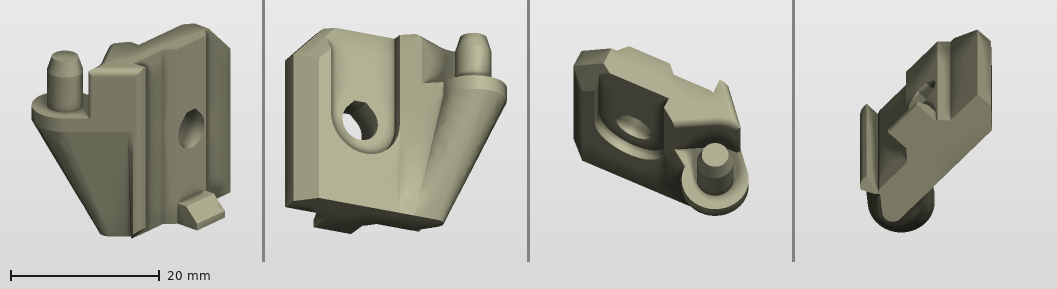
import cadquery as cq
import math


height = 25.7
disk_bottom = 16.55
shelf_z = 18.52
pin_cone_z = 23.65

disk_radius = 4.5
pin_radius = 2.45
pin_tip_radius = 1.8

plate_left = 3.5
plate_right = 8.55
plate_front = 9.3
plate_back = 28.5 - disk_radius
side_chamfer = 2.55
top_chamfer = 4.5
corner_slope = 1.4

center_y = 14.48
boss_right = 9.85
boss_root_half = 4.25
boss_tip_half = 3.05
foot_right = 17.9 - disk_radius
foot_half = 2.82
foot_height = 2.95
foot_chamfer = 1.97

pocket_floor = 5.05
pocket_radius = center_y - plate_front
hole_radius = 2.65
hole_z = 12.82
hole_flat_height = 2.88

wing_angle = math.radians(40.4)
wing_tip = 10.52
wing_top_y = 4.35
wing_notch = (8.35, 4.28)
wing_root = (plate_right, 4.85)
wing_strip_x = 9.38
wing_flare_x = 9.92
support_end_x = 7.98
wing_base_x = 8.5
edge_fillet = 1.0
wall_end_fillet = 0.5

wall_radius = 4.9
wall_angle = math.radians(30)

nose_radius = 1.4
nose_top_y = 7.07
nose_center = (plate_left + nose_radius, 3.53)

cut_reach = 28.5


def polar(radius, angle, center=(0, 0)):
    return (center[0] + radius * math.cos(angle), center[1] + radius * math.sin(angle))


slant_normal = wing_angle - math.pi / 2


def slant_y(x, start):
    """Y on the line through start that runs parallel to the wing."""
    return start[1] + (x - start[0]) * math.tan(wing_angle)


slant_start = polar(disk_radius, slant_normal)
tip_corner = (wing_tip, slant_y(wing_tip, slant_start))
nose_end = polar(nose_radius, slant_normal, nose_center)
support_end = (support_end_x, slant_y(support_end_x, nose_end))
flare_corner = (wing_flare_x, slant_y(wing_flare_x, slant_start))
strip_corner = (wing_strip_x, slant_y(wing_strip_x, slant_start))


def prism(points, bottom, top):
    return cq.Workplane("XY").workplane(offset=bottom).polyline(points).close().extrude(top - bottom)


def round_edge(body, point, radius):
    """Round the edge nearest to a point, with any edges tangent to it."""
    return body.edges(cq.selectors.NearestToPointSelector(point)).fillet(radius)


def make_plate():
    outline = [
        (plate_left, plate_front),
        (plate_right, plate_front),
        (plate_right, center_y - boss_root_half),
        (boss_right, center_y - boss_tip_half),
        (boss_right, center_y + boss_tip_half),
        (plate_right, center_y + boss_root_half),
        (plate_right, plate_back),
        (plate_left + side_chamfer, plate_back),
        (plate_left, plate_back - side_chamfer),
    ]
    return prism(outline, 0, height)


def make_foot():
    return (
        cq.Workplane("XZ", origin=(0, center_y + foot_half, 0))
        .moveTo(plate_right, 0)
        .lineTo(foot_right, 0)
        .lineTo(foot_right, foot_height - foot_chamfer)
        .lineTo(foot_right - foot_chamfer, foot_height)
        .lineTo(plate_right, foot_height)
        .close()
        .extrude(2 * foot_half)
    )


def make_head():
    """Upper arm with the disk, the wing and the wall around the pin."""
    head = (
        cq.Workplane("XY", origin=(0, 0, disk_bottom))
        .moveTo(plate_left, plate_front)
        .lineTo(0, disk_radius)
        .threePointArc(polar(disk_radius, math.pi), slant_start)
        .lineTo(*tip_corner)
        .lineTo(wing_tip, wing_top_y)
        .lineTo(*wing_notch)
        .lineTo(*wing_root)
        .lineTo(plate_right, plate_front)
        .close()
        .extrude(height - disk_bottom)
    )
    wall_start = polar(wall_radius, wall_angle)
    wall_far = polar(2 * wall_radius, wall_angle + math.pi / 2, wall_start)
    recess = (
        cq.Workplane("XY", origin=(0, 0, shelf_z))
        .moveTo(*wall_far)
        .lineTo(*wall_start)
        .threePointArc(polar(wall_radius, wall_angle / 2), (wall_radius, 0))
        .lineTo(wall_radius, -cut_reach)
        .lineTo(-cut_reach, -cut_reach)
        .lineTo(-cut_reach, wall_far[1])
        .close()
        .extrude(height)
    )
    head = head.cut(recess)
    wall_end = (wall_radius, slant_y(wall_radius, slant_start))
    wall_top = (wall_radius, wall_end[1] / 2, height)
    slant_x = (wall_radius + wing_tip) / 2
    slant_top = (slant_x, slant_y(slant_x, slant_start), height)
    mid_z = (shelf_z + height) / 2
    rounded = round_edge(head, wall_top, edge_fillet)
    rounded = rounded.intersect(round_edge(head, slant_top, edge_fillet))
    rounded = rounded.intersect(round_edge(head, (*wall_end, mid_z), wall_end_fillet))
    return rounded.intersect(round_edge(head, (*tip_corner, mid_z), edge_fillet))


def make_support():
    """Support tapering from the disk down to a rounded nose at the base."""
    return (
        cq.Workplane("XY")
        .moveTo(plate_left, plate_front)
        .lineTo(plate_left, nose_top_y)
        .lineTo(plate_left, nose_center[1])
        .threePointArc(polar(nose_radius, (slant_normal - math.pi) / 2, nose_center), nose_end)
        .lineTo(*support_end)
        .lineTo(*wing_notch)
        .lineTo(*wing_root)
        .lineTo(plate_right, plate_front)
        .close()
        .workplane(offset=disk_bottom)
        .moveTo(plate_left, plate_front)
        .lineTo(0, disk_radius)
        .threePointArc(polar(disk_radius, 3 * math.pi / 4), (-disk_radius, 0))
        .threePointArc(polar(disk_radius, (slant_normal - math.pi) / 2), slant_start)
        .lineTo(*strip_corner)
        .lineTo(*wing_notch)
        .lineTo(*wing_root)
        .lineTo(plate_right, plate_front)
        .close()
        .loft(ruled=True)
    )


def make_wing():
    """Lower part of the wing, flaring back under the disk and cut off at 45 degrees underneath."""
    tip_side = [flare_corner, tip_corner, (wing_tip, wing_top_y), wing_notch]
    wing = (
        cq.Workplane("XY")
        .polyline([support_end] + tip_side)
        .close()
        .workplane(offset=disk_bottom)
        .polyline([strip_corner] + tip_side)
        .close()
        .loft(ruled=True)
    )
    wing = round_edge(wing, (*tip_corner, disk_bottom / 2), edge_fillet)
    underside = (
        cq.Workplane("XZ", origin=(0, cut_reach, 0))
        .moveTo(wing_base_x, 0)
        .lineTo(wing_base_x + disk_bottom, disk_bottom)
        .lineTo(wing_base_x + disk_bottom, 0)
        .close()
        .extrude(2 * cut_reach)
    )
    return wing.cut(underside)


def make_pin():
    return (
        cq.Workplane("XZ")
        .moveTo(0, disk_bottom)
        .lineTo(pin_radius, disk_bottom)
        .lineTo(pin_radius, pin_cone_z)
        .lineTo(pin_tip_radius, height)
        .lineTo(0, height)
        .close()
        .revolve(360, (0, 0, 0), (0, 1, 0))
    )


def make_pocket():
    """Round-bottomed pocket in the left face, open at the top."""
    return (
        cq.Workplane("YZ", origin=(plate_left, 0, 0))
        .moveTo(center_y - pocket_radius, height)
        .lineTo(center_y - pocket_radius, hole_z)
        .threePointArc((center_y, hole_z - pocket_radius), (center_y + pocket_radius, hole_z))
        .lineTo(center_y + pocket_radius, height)
        .close()
        .extrude(pocket_floor - plate_left)
    )


def make_hole():
    """Through hole with 45 degree shoulders and a flat roof."""
    shoulder = hole_radius * math.sqrt(0.5)
    flat_half = 2 * shoulder - hole_flat_height
    return (
        cq.Workplane("YZ", origin=(0, center_y, hole_z))
        .moveTo(-shoulder, shoulder)
        .threePointArc((0, -hole_radius), (shoulder, shoulder))
        .lineTo(flat_half, hole_flat_height)
        .lineTo(-flat_half, hole_flat_height)
        .close()
        .extrude(cut_reach)
    )


def make_corner_cut(slope):
    """Material above the plane Y + Z = limit + slope * (X - chamfer edge)."""
    edge_x = plate_left + side_chamfer
    limit = plate_back + height - top_chamfer
    plane = cq.Plane(
        origin=(edge_x, plate_back, limit - plate_back),
        xDir=(0, 1, -1),
        normal=(-slope, 1, 1),
    )
    return cq.Workplane(plane).rect(cut_reach, cut_reach).extrude(2 * top_chamfer)


plate = make_plate().cut(make_corner_cut(0)).cut(make_corner_cut(corner_slope))
result = plate.union(make_foot()).union(make_support()).union(make_wing())
result = result.union(make_head()).union(make_pin())
result = result.cut(make_pocket()).cut(make_hole())